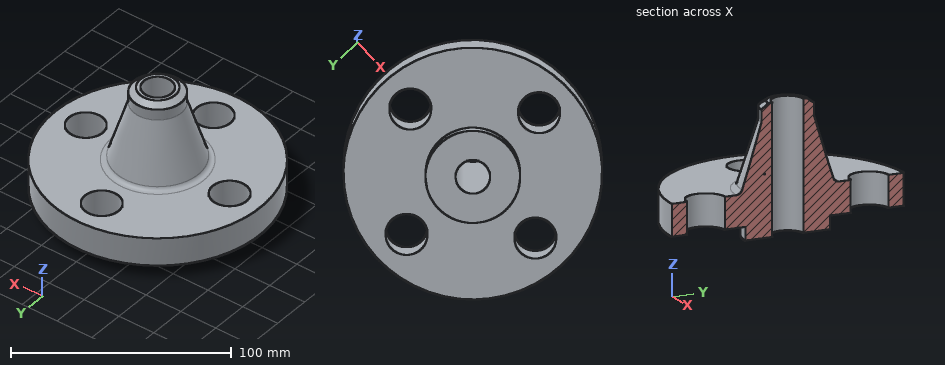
import cadquery as cq

flange_diameter = 117.3
flange_thickness = 15.7

face_diameter = 42.9
face_height = 6.5

hub_height = 41.3
hub_base_diameter = 47.6
neck_diameter = 26.7
cone_height = 32.7
hub_fillet_radius = 3.0

bevel_height = 2.6
bevel_width = 3.5

bore_diameter = 15.6
bolt_hole_diameter = 19.0
bolt_circle_diameter = 82.6
bolt_count = 4

flange_bottom = face_height
flange_top = flange_bottom + flange_thickness
cone_top = flange_top + cone_height
neck_top = flange_top + hub_height
bevel_bottom = neck_top - bevel_height


def flange_body():
    """Solid of revolution: raised face, plate, conical hub and bevelled neck."""
    face_radius = face_diameter / 2
    flange_radius = flange_diameter / 2
    neck_radius = neck_diameter / 2
    profile = [
        (0, 0),
        (face_radius, 0),
        (face_radius, flange_bottom),
        (flange_radius, flange_bottom),
        (flange_radius, flange_top),
        (hub_base_diameter / 2, flange_top),
        (neck_radius, cone_top),
        (neck_radius, bevel_bottom),
        (neck_radius - bevel_width, neck_top),
        (0, neck_top),
    ]
    return cq.Workplane("XZ").polyline(profile).close().revolve(360, (0, 0, 0), (0, 1, 0))


def round_hub_root(body):
    """Fillet the circle where the cone meets the plate."""
    hub_cone = body.faces("%CONE").faces("<Z")
    return hub_cone.edges("<Z").fillet(hub_fillet_radius)


def cut_bore(body):
    """Cut the bore through the full height."""
    bore = cq.Workplane("XY").circle(bore_diameter / 2).extrude(neck_top)
    return body.cut(bore)


def cut_bolt_holes(body):
    """Cut the bolt holes through the plate, starting on the X axis."""
    holes = (
        cq.Workplane("XY", origin=(0, 0, flange_bottom))
        .polarArray(bolt_circle_diameter / 2, 0, 360, bolt_count)
        .circle(bolt_hole_diameter / 2)
        .extrude(flange_thickness)
    )
    return body.cut(holes)


result = cut_bolt_holes(cut_bore(round_hub_root(flange_body())))